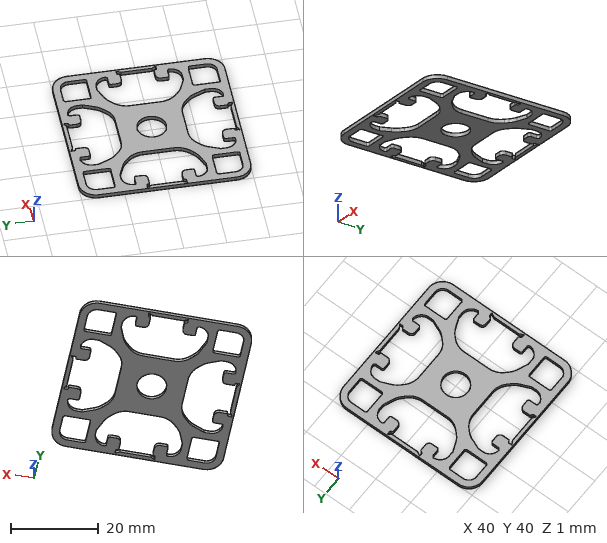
import cadquery as cq
import math

SIDE = 40.0
THICKNESS = 1.0
CORNER_RADIUS = 4.0
CENTRE_HOLE_DIAMETER = 6.8
SLOT_COUNT = 4
QUARTER_TURN = 360.0 / SLOT_COUNT

WINDOW_WALL = 1.8
WINDOW_SIZE = 6.4
WINDOW_OUTER_RADIUS = CORNER_RADIUS - WINDOW_WALL
WINDOW_INNER_RADIUS = 0.5

SLOT_FLOOR_Y = 7.8
FLOOR_CORNER_X = 5.65
SLOT_WALL_X = 10.0
SLOT_WALL_START_Y = 14.2
SLOT_CEILING_Y = 18.1
CHAMFER_ANGLE = math.radians(45.0)
FLANK_ANGLE = math.radians(67.5)
FLOOR_RADIUS = 5.0
FLANK_RADIUS = 5.0
CEILING_RADIUS = 2.6

HOOK_INNER_X = 3.95
HOOK_OUTER_X = 7.0
HOOK_TIP_Y = 15.5
HOOK_SHOULDER_Y = 18.55
HOOK_NOSE_RADIUS = 1.1
HOOK_HEEL_RADIUS = 0.5
HOOK_ROOT_RADIUS = 0.5
SHOULDER_RADIUS = 0.35

LIP_Y = 19.05
LIP_EDGE_X = 3.6
NOTCH_X = 4.6
NOTCH_TIP_Y = 19.55
NOTCH_TIP_WIDTH = 0.1


def flank_corner():
    """Point where the 45 degree side of the slot meets the steeper flank above it."""
    chamfer_slope = math.tan(CHAMFER_ANGLE)
    flank_slope = math.tan(FLANK_ANGLE)
    chamfer_y_at_axis = SLOT_FLOOR_Y - chamfer_slope * FLOOR_CORNER_X
    flank_y_at_axis = SLOT_WALL_START_Y - flank_slope * SLOT_WALL_X
    x = (chamfer_y_at_axis - flank_y_at_axis) / (flank_slope - chamfer_slope)
    return (x, chamfer_y_at_axis + chamfer_slope * x)


def round_edge(body, x, y, radius):
    """Round the upright edge of a body that stands nearest to (x, y)."""
    upright = body.edges("|Z")
    edge = upright.edges(cq.selectors.NearestToPointSelector((x, y, THICKNESS / 2)))
    return edge.fillet(radius)


def half_slot():
    """Half of the +Y slot, on the +X side of its centre line."""
    bend = flank_corner()
    outline = (
        cq.Workplane("XY")
        .moveTo(0, SLOT_FLOOR_Y)
        .lineTo(FLOOR_CORNER_X, SLOT_FLOOR_Y)
        .lineTo(*bend)
        .lineTo(SLOT_WALL_X, SLOT_WALL_START_Y)
        .lineTo(SLOT_WALL_X, SLOT_CEILING_Y)
        .lineTo(HOOK_OUTER_X, SLOT_CEILING_Y)
        .lineTo(HOOK_OUTER_X, HOOK_TIP_Y)
        .lineTo(HOOK_INNER_X, HOOK_TIP_Y)
        .lineTo(HOOK_INNER_X, HOOK_SHOULDER_Y)
        .lineTo(NOTCH_X, HOOK_SHOULDER_Y)
        .lineTo(NOTCH_X, NOTCH_TIP_Y)
        .lineTo(NOTCH_X - NOTCH_TIP_WIDTH, NOTCH_TIP_Y)
        .lineTo(LIP_EDGE_X, LIP_Y)
        .lineTo(0, LIP_Y)
    )
    body = outline.close().extrude(THICKNESS)
    body = round_edge(body, FLOOR_CORNER_X, SLOT_FLOOR_Y, FLOOR_RADIUS)
    body = round_edge(body, *bend, FLANK_RADIUS)
    body = round_edge(body, SLOT_WALL_X, SLOT_CEILING_Y, CEILING_RADIUS)
    body = round_edge(body, HOOK_OUTER_X, SLOT_CEILING_Y, HOOK_ROOT_RADIUS)
    body = round_edge(body, HOOK_OUTER_X, HOOK_TIP_Y, HOOK_HEEL_RADIUS)
    body = round_edge(body, HOOK_INNER_X, HOOK_TIP_Y, HOOK_NOSE_RADIUS)
    body = round_edge(body, HOOK_INNER_X, HOOK_SHOULDER_Y, SHOULDER_RADIUS)
    return round_edge(body, NOTCH_X, HOOK_SHOULDER_Y, SHOULDER_RADIUS)


def slot():
    """Complete +Y slot, symmetric about the YZ plane."""
    half = half_slot()
    return half.union(half.mirror("YZ"))


def corner_window():
    """Rounded square window in the +X +Y corner."""
    outer = SIDE / 2 - WINDOW_WALL
    inner = outer - WINDOW_SIZE
    centre = outer - WINDOW_SIZE / 2
    body = cq.Workplane("XY").center(centre, centre).rect(WINDOW_SIZE, WINDOW_SIZE).extrude(THICKNESS)
    body = round_edge(body, outer, outer, WINDOW_OUTER_RADIUS)
    for x, y in ((inner, outer), (inner, inner), (outer, inner)):
        body = round_edge(body, x, y, WINDOW_INNER_RADIUS)
    return body


def plate():
    """Rounded square plate with its centre hole, standing on Z = 0."""
    blank = cq.Workplane("XY").rect(SIDE, SIDE).extrude(THICKNESS).edges("|Z").fillet(CORNER_RADIUS)
    return blank.faces(">Z").workplane().hole(CENTRE_HOLE_DIAMETER)


result = plate()
side_cutter = slot().union(corner_window())
for index in range(SLOT_COUNT):
    result = result.cut(side_cutter.rotate((0, 0, 0), (0, 0, 1), index * QUARTER_TURN))